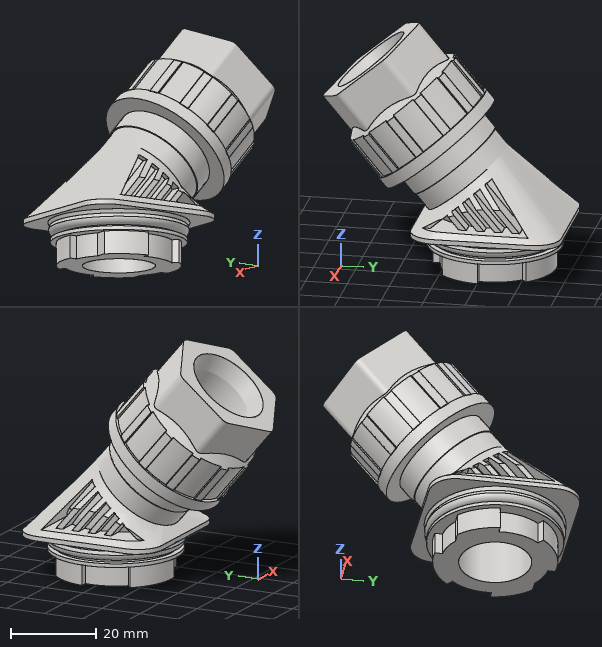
import cadquery as cq
import math

FLANGE_SIDE = 36.0
FLANGE_CORNER_RADIUS = 6.35
FLANGE_BOTTOM = 10.35
FLANGE_TOP = 11.55
SKIRT_HEIGHT = 5.5
SKIRT_CORE_RADIUS = 12.95
LUG_RADIUS = 14.75
SIDE_LUG_NEAR_FACE = 1.5
SIDE_LUG_FAR_FACE = 10.85
FRONT_LUG_END_FACE = 1.35
FRONT_LUG_START_ANGLE = 220
DISC_RADIUS = 16.15
DISC_TOP = 6.4
GROOVE_RADIUS = 14.6
SEAL_BOTTOM = 7.0
SEAL_RADIUS = 16.55
SEAL_CORNER_RADIUS = 1.6
SEAL_NECK_RADIUS = 16.3
SEAL_NECK_Z = 9.45
SEAL_TOP_RADIUS = 16.7

TILT = 40
ELBOW_HEIGHT = 13.8
HOOD_END = 10.05
NECK_END = 15.1
COLLAR_START = 20.3
COLLAR_END = 23.45
NUT_SHOULDER = 34.3
MOUTH = 46.15
NECK_RADIUS = 12.1
SLEEVE_RADIUS = 12.35
COLLAR_RADIUS = 16.45

HEX_ACROSS_FLATS = 26.65
HEX_CORNER_RADIUS = 2.15
RIB_RADIUS = 16.15
PANEL_RADIUS = 15.75
RIB_WIDTH = 2.3
RIB_COUNT = 12
SHOULDER_ANGLE = 38

BORE_RADIUS = 8.6
MOUTH_RADIUS = 9.95
MOUTH_TAPER_LENGTH = 4.3

HOOD_FLAT_HALF_WIDTH = 4.8

POCKET_FLOOR = 13.0
POCKET_WALL_X = 14.3
PIPE_RADIUS = 11.55
SLOT_WIDTH = 1.9
SLOT_PITCH = 3.25
SLOT_COUNT = 5
FIRST_SLOT_EDGE = 7.95
SLOT_END = 7.7

REACH = 2 * FLANGE_SIDE

tilt_angle = math.radians(TILT)
tube_direction = cq.Vector(0, -math.sin(tilt_angle), math.cos(tilt_angle))
elbow_point = cq.Vector(0, 0, ELBOW_HEIGHT)


def tube_plane(station):
    """Plane across the tube; local x is X and local y points to the back and up."""
    return cq.Workplane(cq.Plane(elbow_point + tube_direction * station, (1, 0, 0), tube_direction))


def tube_cylinder(radius, start, end):
    return tube_plane(start).circle(radius).extrude(end - start)


def arc_point(radius, angle):
    return (radius * math.cos(math.radians(angle)), radius * math.sin(math.radians(angle)))


def revolved_base():
    """Skirt core, disc, seal groove and seal as one turned profile."""
    corner_inset = SEAL_CORNER_RADIUS * (1 - math.sqrt(0.5))
    return (
        cq.Workplane("XZ")
        .moveTo(0, 0)
        .lineTo(SKIRT_CORE_RADIUS, 0)
        .lineTo(SKIRT_CORE_RADIUS, SKIRT_HEIGHT)
        .lineTo(DISC_RADIUS, SKIRT_HEIGHT)
        .lineTo(DISC_RADIUS, DISC_TOP)
        .lineTo(GROOVE_RADIUS, DISC_TOP)
        .lineTo(GROOVE_RADIUS, SEAL_BOTTOM)
        .lineTo(SEAL_RADIUS - SEAL_CORNER_RADIUS, SEAL_BOTTOM)
        .threePointArc(
            (SEAL_RADIUS - corner_inset, SEAL_BOTTOM + corner_inset),
            (SEAL_RADIUS, SEAL_BOTTOM + SEAL_CORNER_RADIUS),
        )
        .lineTo(SEAL_NECK_RADIUS, SEAL_NECK_Z)
        .lineTo(SEAL_TOP_RADIUS, FLANGE_BOTTOM)
        .lineTo(0, FLANGE_BOTTOM)
        .close()
        .revolve(360, (0, 0, 0), (0, 1, 0))
    )


def skirt_lugs():
    """Four lugs round the skirt, in two pairs that repeat at half a turn."""
    side_outline = [
        (0, SIDE_LUG_NEAR_FACE),
        (-REACH, SIDE_LUG_NEAR_FACE),
        (-REACH, SIDE_LUG_FAR_FACE),
        (0, SIDE_LUG_FAR_FACE),
    ]
    front_outline = [
        (0, 0),
        arc_point(REACH, FRONT_LUG_START_ANGLE),
        (FRONT_LUG_END_FACE, -REACH),
        (FRONT_LUG_END_FACE, 0),
    ]
    disc = cq.Workplane("XY").circle(LUG_RADIUS).extrude(SKIRT_HEIGHT)
    lugs = cq.Workplane("XY")
    for outline in (side_outline, front_outline):
        lug = cq.Workplane("XY").polyline(outline).close().extrude(SKIRT_HEIGHT).intersect(disc)
        lugs = lugs.add(lug).add(lug.rotate((0, 0, 0), (0, 0, 1), 180))
    return lugs.combine()


def flange():
    return (
        cq.Workplane("XY", origin=(0, 0, FLANGE_BOTTOM))
        .rect(FLANGE_SIDE, FLANGE_SIDE)
        .extrude(FLANGE_TOP - FLANGE_BOTTOM)
        .edges("|Z")
        .fillet(FLANGE_CORNER_RADIUS)
    )


def eight_piece_outline(workplane, side, side_middle, flat_half_width, corner_middle):
    """Four side pieces and four corner arcs, each arc given by its ends and its middle."""
    outline = workplane.moveTo(side, -flat_half_width)
    for quarter in range(4):

        def turned(x, y):
            for _ in range(quarter):
                x, y = -y, x
            return (x, y)

        side_end = turned(side, flat_half_width)
        if side_middle > side:
            outline = outline.threePointArc(turned(side_middle, 0), side_end)
        else:
            outline = outline.lineTo(*side_end)
        outline = outline.threePointArc(
            turned(corner_middle, corner_middle), turned(flat_half_width, side)
        )
    return outline.close().val()


def hood():
    """Ruled transition from the rounded square flange to the tilted tube circle."""
    half_side = FLANGE_SIDE / 2
    straight_half_width = half_side - FLANGE_CORNER_RADIUS
    square = eight_piece_outline(
        cq.Workplane("XY", origin=(0, 0, FLANGE_TOP)),
        half_side,
        half_side,
        straight_half_width,
        straight_half_width + FLANGE_CORNER_RADIUS * math.sqrt(0.5),
    )
    circle = eight_piece_outline(
        tube_plane(HOOD_END),
        math.sqrt(NECK_RADIUS**2 - HOOD_FLAT_HALF_WIDTH**2),
        NECK_RADIUS,
        HOOD_FLAT_HALF_WIDTH,
        NECK_RADIUS * math.sqrt(0.5),
    )
    return cq.Workplane(cq.Solid.makeLoft([square, circle], True))


def elbow_pipe(radius):
    """Mitred round bar from the skirt bottom, through the elbow point, to the mouth."""
    mouth_center = elbow_point + tube_direction * MOUTH
    path = cq.Workplane("YZ").polyline(
        [(0, 0), (elbow_point.y, elbow_point.z), (mouth_center.y, mouth_center.z)]
    )
    return cq.Workplane("XY").circle(radius).sweep(path, transition="right")


def side_cutter(wall_x, front_edge, back_edge, end):
    """Block outside x = -wall_x that runs along the tube up to a station, between two edges across it."""
    return (
        tube_plane(-REACH)
        .center(-wall_x - REACH / 2, (front_edge + back_edge) / 2)
        .rect(REACH, back_edge - front_edge)
        .extrude(REACH + end)
    )


def grip_pocket():
    """Pocket on the -X side above a level floor, with deeper slots that reach the pipe wall."""
    cutter = side_cutter(POCKET_WALL_X, -REACH, FIRST_SLOT_EDGE, REACH)
    for index in range(SLOT_COUNT):
        back_edge = FIRST_SLOT_EDGE - index * SLOT_PITCH
        front_edge = -REACH if index == SLOT_COUNT - 1 else back_edge - SLOT_WIDTH
        cutter = cutter.union(side_cutter(0, front_edge, back_edge, SLOT_END))
    above_floor = cq.Workplane("XY", origin=(0, 0, POCKET_FLOOR)).rect(2 * REACH, 2 * REACH).extrude(REACH)
    return cutter.intersect(above_floor).cut(elbow_pipe(PIPE_RADIUS))


def tube():
    """Neck, sleeve and collar."""
    return (
        tube_cylinder(NECK_RADIUS, HOOD_END, NECK_END)
        .union(tube_cylinder(SLEEVE_RADIUS, NECK_END, COLLAR_START))
        .union(tube_cylinder(COLLAR_RADIUS, COLLAR_START, COLLAR_END))
    )


def nut():
    """Ribbed ring with a conical shoulder that runs into a rounded hexagon."""
    shoulder_height = (RIB_RADIUS - MOUTH_RADIUS) * math.tan(math.radians(SHOULDER_ANGLE))
    shoulder = cq.Solid.makeCone(
        RIB_RADIUS,
        MOUTH_RADIUS,
        shoulder_height,
        elbow_point + tube_direction * NUT_SHOULDER,
        tube_direction,
    )
    ring = tube_cylinder(RIB_RADIUS, COLLAR_END, NUT_SHOULDER).union(cq.Workplane(shoulder))
    ribs = (
        tube_plane(COLLAR_END)
        .polarArray(RIB_RADIUS, 0, 360, RIB_COUNT)
        .rect(RIB_RADIUS, RIB_WIDTH)
        .extrude(MOUTH - COLLAR_END)
    )
    panels = (
        tube_plane(COLLAR_END)
        .circle(COLLAR_RADIUS)
        .circle(PANEL_RADIUS)
        .extrude(MOUTH - COLLAR_END)
        .cut(ribs)
    )
    along_tube = cq.selectors.ParallelDirSelector(tube_direction)
    hexagon = (
        tube_plane(COLLAR_END)
        .transformed(rotate=(0, 0, 90))
        .polygon(6, HEX_ACROSS_FLATS / math.cos(math.pi / 6))
        .extrude(MOUTH - COLLAR_END)
        .edges(along_tube)
        .fillet(HEX_CORNER_RADIUS)
    )
    return ring.cut(panels).union(hexagon)


def bore():
    """Elbow passage from the skirt to the mouth, with a taper at the mouth."""
    taper = cq.Solid.makeCone(
        MOUTH_RADIUS,
        BORE_RADIUS,
        MOUTH_TAPER_LENGTH,
        elbow_point + tube_direction * MOUTH,
        tube_direction * -1,
    )
    return elbow_pipe(BORE_RADIUS).union(cq.Workplane(taper))


pocket = grip_pocket()
fitting_hood = hood().cut(pocket).cut(pocket.mirror("YZ"))
result = revolved_base().union(skirt_lugs()).union(flange()).union(fitting_hood)
result = result.union(tube()).union(nut()).cut(bore())